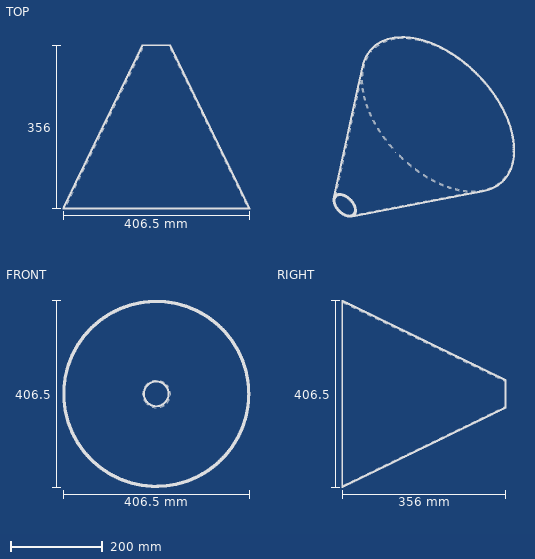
import cadquery as cq
import math

large_diameter = 406.5
small_diameter = 60.0
length = 356.0
wall_thickness = 3.0

large_radius = large_diameter / 2
small_radius = small_diameter / 2
half_angle = math.atan2(large_radius - small_radius, length)
radial_wall = wall_thickness / math.cos(half_angle)

wall_section = (
    cq.Workplane("XY")
    .moveTo(large_radius - radial_wall, 0)
    .lineTo(large_radius, 0)
    .lineTo(small_radius, length)
    .lineTo(small_radius - radial_wall, length)
    .close()
)
result = wall_section.revolve(360, (0, 0, 0), (0, 1, 0))